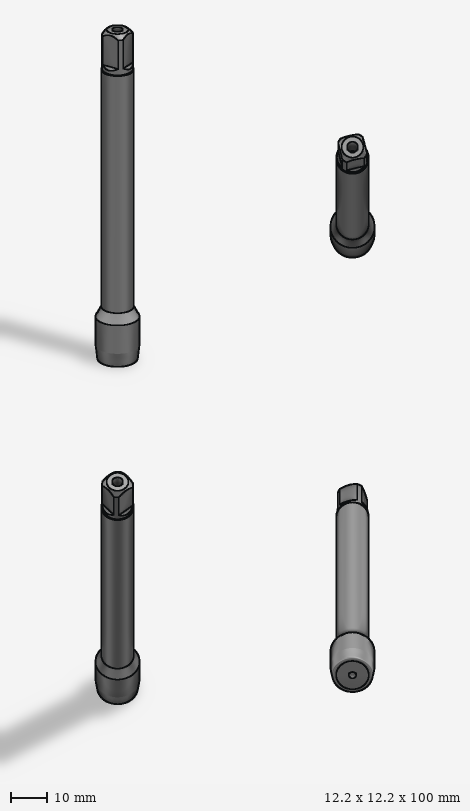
import cadquery as cq
import math

LENGTH = 100.0

SHAFT_DIAMETER = 9.0
SQUARE_WIDTH = 7.0
CORNER_DIAMETER = 8.6
TIP_DIAMETER = 6.0
SHOULDER_Z = 88.1
FLAT_END_Z = 90.0
LEDGE_ANGLE = 45.0

BORE_DIAMETER = 2.0
COUNTERBORE_DIAMETER = 3.0
COUNTERBORE_DEPTH = 10.0

HEAD_DIAMETER = 12.2
HEAD_HEIGHT = 16.0
HEAD_RIM_DIAMETER = 9.4
HEAD_RIM_HEIGHT = 0.4
HEAD_SHOULDER_Z = 13.0
HEAD_TAPER_Z = 4.4
HEAD_FOOT_DIAMETER = 11.2
HEAD_FOOT_ROUNDING = 0.6


def revolve_profile(points):
    """Turn a closed (radius, z) outline around the Z axis."""
    return cq.Workplane("XZ").polyline(points).close().revolve(360, (0, 0), (0, 1))


def make_flat_cutter():
    """Material removed beside one flat of the square, on the +X side."""
    inner = SQUARE_WIDTH / 2
    outer = SHAFT_DIAMETER
    fall = (outer - inner) * math.tan(math.radians(LEDGE_ANGLE))
    outline = [
        (inner, FLAT_END_Z),
        (outer, FLAT_END_Z - fall),
        (outer, LENGTH),
        (inner, LENGTH),
    ]
    return cq.Workplane("XZ").polyline(outline).close().extrude(SHAFT_DIAMETER / 2, both=True)


def make_shaft():
    """Stepped shaft with four flats and a counterbored axial hole."""
    shaft_radius = SHAFT_DIAMETER / 2
    corner_radius = CORNER_DIAMETER / 2
    tip_radius = TIP_DIAMETER / 2
    shaft = revolve_profile([
        (0, 0),
        (shaft_radius, 0),
        (shaft_radius, SHOULDER_Z - (shaft_radius - corner_radius)),
        (corner_radius, SHOULDER_Z),
        (corner_radius, LENGTH - (corner_radius - tip_radius)),
        (tip_radius, LENGTH),
        (0, LENGTH),
    ])
    flat_cutter = make_flat_cutter()
    for angle in range(0, 360, 90):
        shaft = shaft.cut(flat_cutter.rotate((0, 0, 0), (0, 0, 1), angle))
    return shaft.faces(">Z").workplane().cboreHole(BORE_DIAMETER, COUNTERBORE_DIAMETER, COUNTERBORE_DEPTH)


def make_head():
    """Sleeve with a conical shoulder and a tapered, rounded foot."""
    bore_radius = SHAFT_DIAMETER / 2
    foot_radius = HEAD_FOOT_DIAMETER / 2
    head = revolve_profile([
        (bore_radius, 0),
        (foot_radius, 0),
        (HEAD_DIAMETER / 2, HEAD_TAPER_Z),
        (HEAD_DIAMETER / 2, HEAD_SHOULDER_Z),
        (HEAD_RIM_DIAMETER / 2, HEAD_HEIGHT - HEAD_RIM_HEIGHT),
        (bore_radius, HEAD_HEIGHT),
    ])
    foot_edge = cq.selectors.RadiusNthSelector(-1)
    return head.faces("<Z").edges(foot_edge).fillet(HEAD_FOOT_ROUNDING)


shaft = make_shaft()
head = make_head()

result = cq.Compound.makeCompound([shaft.val(), head.val()])